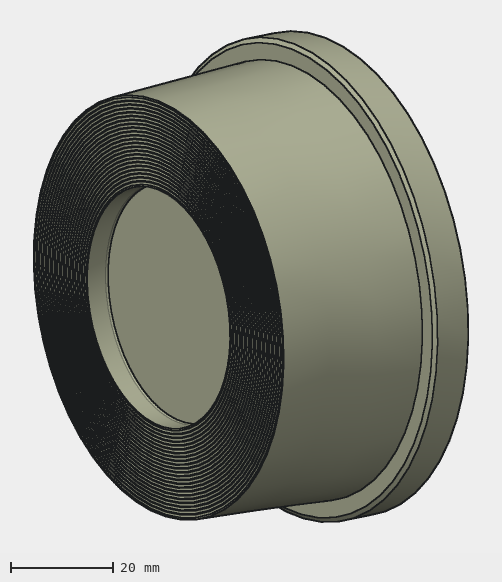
import cadquery as cq

length = 40.0
flange_radius = 48.0
flange_thickness = 8.0
flange_chamfer_radial = 1.0
flange_chamfer_axial = 0.6
neck_root_radius = 43.7
neck_end_radius = 42.0

groove_count = 23
groove_pitch = 0.76
groove_width = 0.6
groove_depth = 0.14
outer_land = 0.4

bore_radius = 24.0
bore_depth = 4.3
step_radial = 0.14
step_axial = 0.6
disc_radius = bore_radius - step_radial
disc_thickness = 4.0

back = length / 2
front = -back
flange_front = back - flange_thickness
step_start = front + bore_depth
disc_front = step_start + step_axial


def add_face_grooves(profile):
    """Run the profile inward across the sealing face, dipping into each groove."""
    for index in range(groove_count):
        groove_outer = neck_end_radius - outer_land - index * groove_pitch
        groove_bottom = (groove_outer - groove_width / 2, front + groove_depth)
        groove_inner = (groove_outer - groove_width, front)
        profile = profile.lineTo(groove_outer, front).threePointArc(groove_bottom, groove_inner)
    return profile


def make_housing():
    """Flange, tapered neck, grooved sealing face and stepped through bore."""
    profile = (
        cq.Workplane("ZY")
        .moveTo(disc_radius, back)
        .lineTo(flange_radius, back)
        .lineTo(flange_radius, flange_front + flange_chamfer_axial)
        .lineTo(flange_radius - flange_chamfer_radial, flange_front)
        .lineTo(neck_root_radius, flange_front)
        .lineTo(neck_end_radius, front)
    )
    profile = (
        add_face_grooves(profile)
        .lineTo(bore_radius, front)
        .lineTo(bore_radius, step_start)
        .lineTo(disc_radius, disc_front)
    )
    return profile.close().revolve(360, (0, 0, 0), (0, 1, 0))


def make_disc():
    """Flat round disc that closes the bore behind the conical step."""
    return cq.Workplane("XZ", origin=(0, disc_front, 0)).circle(disc_radius).extrude(-disc_thickness)


housing = make_housing()
disc = make_disc()

result = cq.Compound.makeCompound([housing.val(), disc.val()])